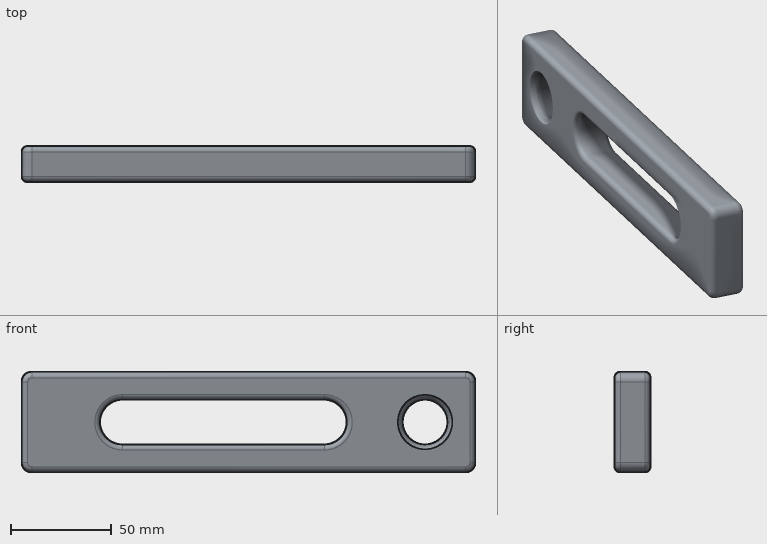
import cadquery as cq

length = 225.0
thickness = 18.0
height = 50.0

corner_radius = 5.0
edge_radius = 3.0
slot_edge_radius = 2.7
hole_chamfer = 2.5

slot_width = 22.0
hole_diameter = 22.0
slot_start = 50.0
slot_end = 150.0
hole_position = 200.0


def make_bar():
    """Flat bar, centred on the origin, with rounded corners and rounded face outlines."""
    block = cq.Workplane("XY").box(length, thickness, height)
    return block.edges("|Y").fillet(corner_radius).faces("<Y or >Y").edges().fillet(edge_radius)


def mouth_edges(body, center_x, reach_x, reach_z):
    """Edges of both broad faces inside a box around one opening."""
    around_opening = cq.selectors.BoxSelector(
        (center_x - reach_x, -thickness, -reach_z),
        (center_x + reach_x, thickness, reach_z),
    )
    return body.faces("<Y or >Y").edges(around_opening)


def cut_slot(body):
    """Long round-ended slot through the thickness, rounded at both mouths."""
    slot_middle = (slot_start + slot_end) / 2 - length / 2
    slot_length = slot_end - slot_start + slot_width
    slot = (
        cq.Workplane("XZ")
        .center(slot_middle, 0)
        .slot2D(slot_length, slot_width)
        .extrude(thickness, both=True)
    )
    mouths = mouth_edges(body.cut(slot), slot_middle, slot_length / 2, slot_width / 2)
    return mouths.fillet(slot_edge_radius)


def cut_hole(body):
    """Round hole through the thickness near the right end, chamfered at both mouths."""
    hole_x = hole_position - length / 2
    hole = (
        cq.Workplane("XZ")
        .center(hole_x, 0)
        .circle(hole_diameter / 2)
        .extrude(thickness, both=True)
    )
    mouths = mouth_edges(body.cut(hole), hole_x, hole_diameter / 2, hole_diameter / 2)
    return mouths.chamfer(hole_chamfer)


result = cut_hole(cut_slot(make_bar()))